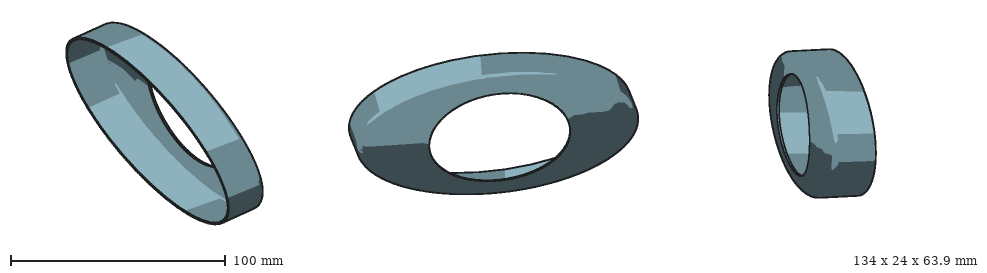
import cadquery as cq
import math

length = 134.0
width = 63.9
depth = 24.0
wall = 1.1
shoulder_depth = 20.2
shoulder_radius = 2.7

opening_length = length / 2
opening_width = 46.6
opening_sag = 1.3
edge_points = 48

rim_plane = -depth / 2


def skirt_edge(inset, height):
    """Ellipse around the skirt, moved inward by inset."""
    return cq.Edge.makeEllipse(
        length / 2 - inset,
        width / 2 - inset,
        pnt=cq.Vector(0, rim_plane + height, 0),
        dir=cq.Vector(0, -1, 0),
        xdir=cq.Vector(1, 0, 0),
    )


def opening_edge(lowering):
    """Oval opening edge, highest at its two X ends."""
    points = []
    for index in range(edge_points):
        angle = 2 * math.pi * index / edge_points
        height = depth - lowering - opening_sag * math.sin(angle) ** 2
        points.append(cq.Vector(
            opening_length / 2 * math.cos(angle),
            rim_plane + height,
            opening_width / 2 * math.sin(angle),
        ))
    return cq.Edge.makeSpline(points, periodic=True)


section_edges = [
    skirt_edge(0, 0),
    skirt_edge(0, shoulder_depth),
    opening_edge(0),
    opening_edge(wall),
    skirt_edge(wall, shoulder_depth - wall),
    skirt_edge(wall, 0),
]
faces = []
for index, edge in enumerate(section_edges):
    previous_edge = section_edges[index - 1]
    faces.append(cq.Face.makeRuledSurface(previous_edge, edge))
body = cq.Solid.makeSolid(cq.Shell.makeShell(faces))


def shoulder_at(height):
    """Selector for the shoulder edge lying at the given height above the skirt rim."""
    margin = wall / 4
    return cq.selectors.BoxSelector(
        (-length, rim_plane + height - margin, -width),
        (length, rim_plane + height + margin, width),
        boundingbox=True,
    )


result = cq.Workplane(body).edges(shoulder_at(shoulder_depth)).fillet(shoulder_radius)
result = result.edges(shoulder_at(shoulder_depth - wall)).fillet(shoulder_radius - wall)